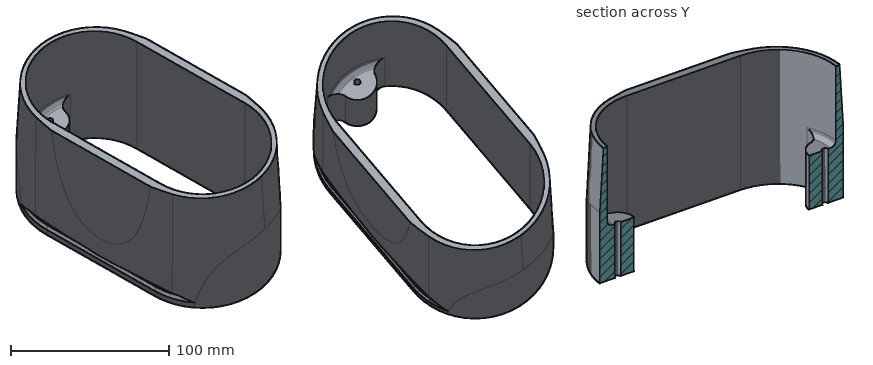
import cadquery as cq
import math

length = 185.0
width = 99.0
height = 100.0
wall = 6.0
end_center = (length - width) / 2
inner_radius = width / 2 - wall

oval_joint_x = 54.4
oval_bottom_half_length = 95.6
oval_bottom_half_width = 48.3
oval_bottom_joint_y = 46.5
oval_top_half_length = 89.7
oval_top_half_width = 53.1
oval_top_joint_y = 46.2

band_height = 4.8
ledge_top = 7.8
ledge_inset = 1.1

post_center = 78.6
post_radius = 12.4
post_top = 40.5
flare_radius = 7.4
post_wall_fillet = 4.0
screw_hole_diameter = 4.0


def oval(half_length, half_width, joint_y):
    """Closed outline of two shallow side arcs and two end arcs."""
    x = oval_joint_x
    arc_center = (half_length**2 - x**2 - joint_y**2) / (2 * (half_length - x))
    arc_radius = half_length - arc_center
    half_angle = math.atan2(joint_y, x - arc_center) / 2
    mid_x = arc_center + arc_radius * math.cos(half_angle)
    mid_y = arc_radius * math.sin(half_angle)
    edges = []
    for side in (1, -1):
        edges.append(cq.Edge.makeThreePointArc(
            cq.Vector(-side * x, side * joint_y),
            cq.Vector(0, side * half_width),
            cq.Vector(side * x, side * joint_y),
        ))
        for start, middle, stop in (
            ((x, joint_y), (mid_x, mid_y), (half_length, 0)),
            ((half_length, 0), (mid_x, -mid_y), (x, -joint_y)),
        ):
            points = [cq.Vector(side * px, side * py) for px, py in (start, middle, stop)]
            edges.append(cq.Edge.makeThreePointArc(*points))
    return cq.Wire.assembleEdges(edges)


def tapered_oval():
    bottom = oval(oval_bottom_half_length, oval_bottom_half_width, oval_bottom_joint_y)
    top = oval(oval_top_half_length, oval_top_half_width, oval_top_joint_y)
    return cq.Workplane(cq.Solid.makeLoft([bottom, top.translate(cq.Vector(0, 0, height))], True))


def outer_body():
    shell = cq.Workplane().slot2D(length, width).extrude(height)
    base = cq.Workplane().slot2D(length, width).extrude(band_height)
    ledge_height = ledge_top - band_height
    ledge_angle = math.degrees(math.atan2(ledge_inset, ledge_height))
    ledge = (
        cq.Workplane()
        .workplane(offset=band_height)
        .slot2D(length, width)
        .extrude(ledge_height, taper=ledge_angle)
    )
    return shell.intersect(tapered_oval()).union(base).union(ledge)


def screw_post():
    """Full-height post at the +X end, flared and filleted into the wall."""
    wall_to_flare = inner_radius - flare_radius
    post_to_flare = post_radius + flare_radius
    spacing = post_center - end_center
    flare_angle = math.acos(
        (wall_to_flare**2 + spacing**2 - post_to_flare**2) / (2 * wall_to_flare * spacing)
    )
    flare_x = end_center + wall_to_flare * math.cos(flare_angle)
    flare_y = wall_to_flare * math.sin(flare_angle)
    wall_x = end_center + inner_radius * math.cos(flare_angle)
    wall_y = inner_radius * math.sin(flare_angle)
    ratio = post_radius / post_to_flare
    post_x = post_center + (flare_x - post_center) * ratio
    post_y = flare_y * ratio
    wall_direction = flare_angle
    post_direction = math.atan2(post_y - flare_y, post_x - flare_x)
    middle_direction = (wall_direction + post_direction) / 2
    middle_x = flare_x + flare_radius * math.cos(middle_direction)
    middle_y = flare_y + flare_radius * math.sin(middle_direction)

    embedded_x = end_center + inner_radius + wall / 2
    prism = (
        cq.Workplane()
        .moveTo(wall_x, wall_y)
        .threePointArc((middle_x, middle_y), (post_x, post_y))
        .threePointArc((post_center - post_radius, 0), (post_x, -post_y))
        .threePointArc((middle_x, -middle_y), (wall_x, -wall_y))
        .threePointArc((embedded_x, 0), (wall_x, wall_y))
        .close()
        .extrude(post_top + post_wall_fillet)
    )

    r = post_wall_fillet
    embedded_radius = inner_radius + wall / 2
    diagonal = r * math.sqrt(0.5)
    envelope = (
        cq.Workplane("XZ")
        .lineTo(embedded_radius, 0)
        .lineTo(embedded_radius, post_top + r)
        .lineTo(inner_radius, post_top + r)
        .threePointArc(
            (inner_radius - r + diagonal, post_top + r - diagonal),
            (inner_radius - r, post_top),
        )
        .lineTo(0, post_top)
        .close()
        .revolve(360, (0, 0, 0), (0, 1, 0))
        .translate((end_center, 0, 0))
    )
    hole = cq.Workplane().center(post_center, 0).circle(screw_hole_diameter / 2).extrude(height)
    return prism.intersect(envelope).cut(hole)


cavity = cq.Workplane().slot2D(length - 2 * wall, width - 2 * wall).extrude(height)
post = screw_post()
result = outer_body().cut(cavity).union(post).union(post.mirror("YZ"))